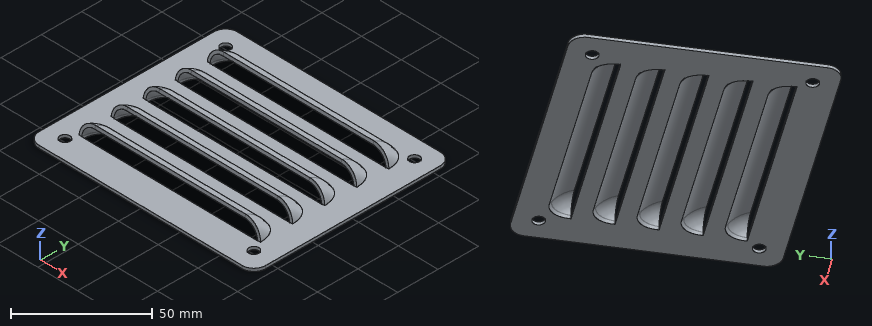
import cadquery as cq
import math

length = 114.3
width = 98.4
thickness = 1.5
corner_radius = 6.0
hole_diameter = 4.8
hole_spacing_x = 95.3
hole_spacing_y = 79.5

louver_count = 5
louver_pitch = 15.9
middle_mouth_y = -3.0
louver_length = 91.7
end_radius = 8.0
hood_top = 9.4
hood_radius = 20.0
lip_tilt = math.radians(22)

inner_radius = hood_radius - thickness
inner_half_length = louver_length / 2 - thickness
inner_end_radius = end_radius - thickness
axis_to_mouth = inner_radius * math.sin(lip_tilt)
axis_z = hood_top - hood_radius * math.cos(lip_tilt)


def make_plate():
    plate = cq.Workplane("XY").rect(length, width).extrude(thickness)
    plate = plate.edges("|Z").fillet(corner_radius)
    return (
        plate.faces(">Z").workplane()
        .rect(hole_spacing_x, hole_spacing_y, forConstruction=True)
        .vertices()
        .hole(hole_diameter)
    )


def make_cavity():
    """Space under one hood, with its mouth in the plane y = 0 and its floor at z = 0."""
    straight_half = inner_half_length - inner_end_radius
    shoulder = inner_radius - inner_end_radius
    corner_offset = inner_end_radius * math.sqrt(0.5)
    bend = shoulder + corner_offset
    arch = (
        cq.Workplane("XZ")
        .moveTo(-inner_half_length, 0)
        .lineTo(-inner_half_length, shoulder)
        .threePointArc((-straight_half - corner_offset, bend), (-straight_half, inner_radius))
        .lineTo(straight_half, inner_radius)
        .threePointArc((straight_half + corner_offset, bend), (inner_half_length, shoulder))
        .lineTo(inner_half_length, 0)
        .close()
    )
    dome = arch.revolve(90, (0, 0), (-1, 0)).translate((0, -axis_to_mouth, axis_z))
    behind_mouth = cq.Workplane("XY").box(
        louver_length, hood_radius, hood_top, centered=(True, False, False)
    )
    return dome.intersect(behind_mouth)


def make_hood(cavity):
    """Wall of plate thickness laid outside the cavity's roof and ends, with a lip square to the wall."""
    roof = cq.Shell.makeShell(cavity.faces("not(|Y or |Z)").vals())
    return cq.Workplane(cq.occ_impl.shapes.offset(roof, thickness))


cavity = make_cavity()
hood = make_hood(cavity)
result = make_plate()
for index in range(louver_count):
    mouth_y = middle_mouth_y + (index - (louver_count - 1) / 2) * louver_pitch
    result = result.cut(cavity.translate((0, mouth_y, 0)))
    result = result.union(hood.translate((0, mouth_y, 0)))